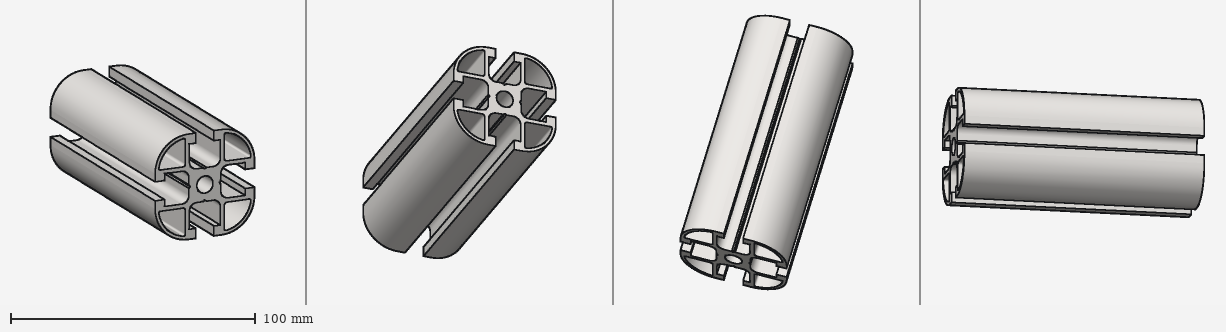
import cadquery as cq

length = 100.0
width = 45.0
half_width = width / 2

corner_radius = 15.0
skin_thickness = 1.5

opening_width = 8.1
lip_depth = 4.3
slot_width = 14.0
slot_floor = 7.2
slot_corner_radius = 3.3
floor_groove_width = 1.5
floor_groove_depth = 0.5

web_thickness = 1.8
chamber_inner_fillet = 1.2
chamber_tip_fillet = 0.8

bore_diameter = 7.3


def make_body():
    return (
        cq.Workplane("YZ")
        .rect(width, width)
        .extrude(length)
        .edges("|X")
        .fillet(corner_radius)
    )


def make_slot():
    """Cutter for the +Z slot, with rounded floor corners and a V groove."""
    opening_half = opening_width / 2
    slot_half = slot_width / 2
    groove_half = floor_groove_width / 2
    lip_underside = half_width - lip_depth
    right_half = [
        (groove_half, slot_floor),
        (slot_half, slot_floor),
        (slot_half, lip_underside),
        (opening_half, lip_underside),
        (opening_half, half_width),
    ]
    left_half = [(-y, z) for y, z in reversed(right_half)]
    groove_tip = (0, slot_floor - floor_groove_depth)
    slot = cq.Workplane("YZ").polyline([groove_tip] + right_half + left_half).close().extrude(length)
    for y in (-slot_half, slot_half):
        floor_corner = cq.selectors.NearestToPointSelector((length / 2, y, slot_floor))
        slot = slot.edges("|X").edges(floor_corner).fillet(slot_corner_radius)
    return slot


def make_chamber():
    """Cutter for the hollow in the +Y +Z corner, bounded by two webs and the outer skin."""
    inner_wall = slot_width / 2 + web_thickness
    arc_center = half_width - corner_radius
    arc_radius = corner_radius - skin_thickness
    square_side = half_width - inner_wall
    chamber = (
        cq.Workplane("YZ")
        .center(inner_wall, inner_wall)
        .rect(square_side, square_side, centered=False)
        .extrude(length)
    )
    skin_bore = cq.Workplane("YZ").center(arc_center, arc_center).circle(arc_radius).extrude(length)
    chamber = chamber.intersect(skin_bore)
    inner_corner = cq.selectors.NearestToPointSelector((length / 2, inner_wall, inner_wall))
    chamber = chamber.edges("|X").edges(inner_corner).fillet(chamber_inner_fillet)
    for tip in ((half_width, inner_wall), (inner_wall, half_width)):
        tip_edge = cq.selectors.NearestToPointSelector((length / 2, *tip))
        chamber = chamber.edges("|X").edges(tip_edge).fillet(chamber_tip_fillet)
    return chamber


result = make_body()
slot = make_slot()
chamber = make_chamber()
for quarter in range(4):
    for cutter in (slot, chamber):
        result = result.cut(cutter.rotate((0, 0, 0), (1, 0, 0), 90 * quarter))

bore = cq.Workplane("YZ").circle(bore_diameter / 2).extrude(length)
result = result.cut(bore)